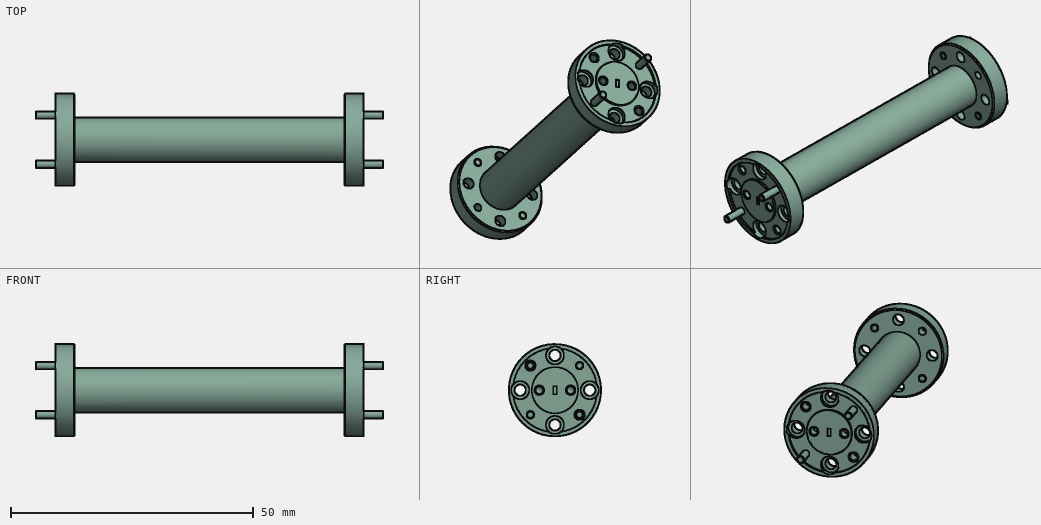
import cadquery as cq
import math

overall_length = 71.6
pin_reach = 4.1
flange_thickness = 4.0
body_length = overall_length - 2 * pin_reach
face_x = body_length / 2

flange_diameter = 19.05
tube_diameter = 9.25
back_chamfer = 0.3

recess_outer_diameter = 17.3
recess_inner_diameter = 9.5
recess_depth = 0.5

bolt_circle_radius = 7.15
bolt_hole_diameter = 2.3
counterbore_diameter = 3.7
counterbore_depth = 1.5
dowel_diameter = 1.6
dowel_hole_chamfer = 0.3
pin_chamfer = 0.15

inner_hole_offset = 3.2
inner_hole_diameter = 1.6
inner_hole_depth = 2.9
inner_hole_chamfer = 0.2
drill_tip_angle = 118.0

waveguide_width = 0.7
waveguide_height = 1.6
waveguide_depth = 0.15

FRONT_END = -1
BACK_END = 1


def cylinder(x_start, length, diameter, y=0.0, z=0.0):
    """Cylinder along +X that starts at x_start."""
    return cq.Workplane("YZ", origin=(x_start, y, z)).circle(diameter / 2).extrude(length)


def cone(x_start, length, start_diameter, end_diameter, y=0.0, z=0.0):
    """Cone or truncated cone along +X that starts at x_start."""
    solid = cq.Solid.makeCone(
        start_diameter / 2, end_diameter / 2, length, pnt=cq.Vector(x_start, y, z), dir=cq.Vector(1, 0, 0)
    )
    return cq.Workplane(obj=solid)


def bolt_circle_point(angle):
    """Y and Z of a point on the bolt circle, the angle measured from +Y toward +Z."""
    radians = math.radians(angle)
    return bolt_circle_radius * math.cos(radians), bolt_circle_radius * math.sin(radians)


def at_end(shape, end):
    """A shape made for the -X end, mirrored when it is wanted at the +X end."""
    return shape if end == FRONT_END else shape.mirror("YZ")


def pin_angles(end):
    """The two ends carry their pins on opposite diagonals."""
    return (135, 315) if end == FRONT_END else (45, 225)


def open_hole_angles(end):
    """Each dowel hole without a pin faces a pin of the other end."""
    return pin_angles(-end)


def make_flange():
    """Flange disc of the -X end, chamfered around its back edge."""
    disc = cylinder(-face_x, flange_thickness, flange_diameter)
    return disc.faces(">X").chamfer(back_chamfer)


def face_recess():
    ring = cylinder(-face_x, recess_depth, recess_outer_diameter)
    return ring.cut(cylinder(-face_x, recess_depth, recess_inner_diameter))


def bolt_hole(angle):
    y, z = bolt_circle_point(angle)
    hole = cylinder(-face_x, flange_thickness, bolt_hole_diameter, y, z)
    return hole.union(cylinder(-face_x, counterbore_depth, counterbore_diameter, y, z))


def dowel_hole(angle):
    y, z = bolt_circle_point(angle)
    return cylinder(-face_x, flange_thickness, dowel_diameter, y, z)


def dowel_hole_mouth(angle):
    """Countersink at the recessed face of a dowel hole that has no pin."""
    y, z = bolt_circle_point(angle)
    mouth_diameter = dowel_diameter + 2 * dowel_hole_chamfer
    return cone(-face_x + recess_depth, dowel_hole_chamfer, mouth_diameter, dowel_diameter, y, z)


def inner_hole(y):
    """Blind hole with a chamfered mouth and a drill tip."""
    tip_length = inner_hole_diameter / 2 / math.tan(math.radians(drill_tip_angle / 2))
    mouth_diameter = inner_hole_diameter + 2 * inner_hole_chamfer
    hole = cylinder(-face_x, inner_hole_depth, inner_hole_diameter, y)
    tip = cone(-face_x + inner_hole_depth, tip_length, inner_hole_diameter, 0, y)
    mouth = cone(-face_x, inner_hole_chamfer, mouth_diameter, inner_hole_diameter, y)
    return hole.union(tip).union(mouth)


def waveguide_opening():
    profile = cq.Workplane("YZ", origin=(-face_x, 0, 0)).rect(waveguide_width, waveguide_height)
    return profile.extrude(waveguide_depth)


def make_waveguide():
    """Tube with a flange at each end, all one solid."""
    body = cylinder(-face_x, body_length, tube_diameter)
    for end in (FRONT_END, BACK_END):
        body = body.union(at_end(make_flange(), end))
    for end in (FRONT_END, BACK_END):
        cutters = [face_recess(), waveguide_opening()]
        cutters += [bolt_hole(angle) for angle in (0, 90, 180, 270)]
        cutters += [inner_hole(y) for y in (-inner_hole_offset, inner_hole_offset)]
        cutters += [dowel_hole(angle) for angle in pin_angles(end) + open_hole_angles(end)]
        cutters += [dowel_hole_mouth(angle) for angle in open_hole_angles(end)]
        for cutter in cutters:
            body = body.cut(at_end(cutter, end))
    return body


def make_pin(angle, end):
    """Dowel pin, flush with the back of its flange and chamfered at both ends."""
    y, z = bolt_circle_point(angle)
    pin = cylinder(-overall_length / 2, pin_reach + flange_thickness, dowel_diameter, y, z)
    return at_end(pin.faces("<X or >X").chamfer(pin_chamfer), end)


waveguide = make_waveguide()
pins = [make_pin(angle, end) for end in (FRONT_END, BACK_END) for angle in pin_angles(end)]

result = cq.Compound.makeCompound([waveguide.val(), *[pin.val() for pin in pins]])